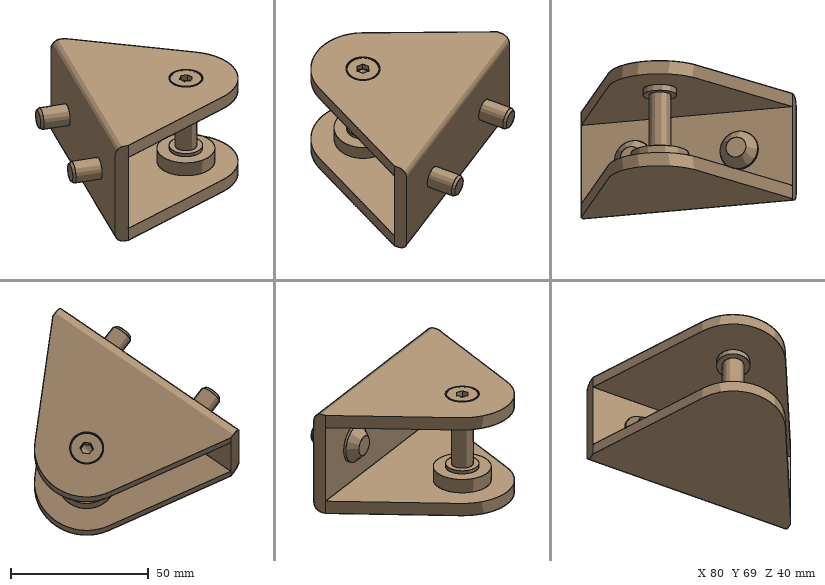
import cadquery as cq
import math

bracket_width = 80.0
bracket_height = 40.0
bracket_depth = 58.0
wall = 5.0
bend_radius = 3.5
ear_radius = 19.0
pin_y = bracket_depth - ear_radius
half_height = bracket_height / 2
inner_top = half_height - wall
inner_bottom = -inner_top

screw_spacing = 40.0
screw_diameter = 8.0
screw_projection = 11.0
screw_tip_length = 1.0
screw_tip_inset = 0.7
screw_head_diameter = 14.2
screw_head_face_diameter = 7.5
screw_head_rim = 1.0
screw_head_height = 4.5

pin_diameter = 8.0
countersink_diameter = 12.4
pin_head_rim = 0.4
socket_across_flats = 4.2
socket_depth = 2.4
socket_cone_height = 1.2

collar_diameter = 12.2
upper_collar_height = 2.2
lower_collar_height = 1.3
roller_diameter = 21.0
roller_height = 5.4


def bracket_outline():
    """Plan of the ears: straight back wall, then sides tangent to a round nose."""
    half_width = bracket_width / 2
    corner_drop = pin_y - wall
    corner_distance = math.hypot(half_width, corner_drop)
    tangent_angle = math.acos(ear_radius / corner_distance) - math.atan2(corner_drop, half_width)
    tangent_x = ear_radius * math.cos(tangent_angle)
    tangent_y = pin_y + ear_radius * math.sin(tangent_angle)
    return (
        cq.Workplane("XY", origin=(0, 0, -half_height))
        .moveTo(-half_width, 0)
        .lineTo(half_width, 0)
        .lineTo(half_width, wall)
        .lineTo(tangent_x, tangent_y)
        .threePointArc((0, bracket_depth), (-tangent_x, tangent_y))
        .lineTo(-half_width, wall)
        .close()
        .extrude(bracket_height)
    )


def screw_positions():
    return [-screw_spacing / 2, screw_spacing / 2]


def ring(diameter, height, bottom):
    """Plain ring bored to fit the pin."""
    return (
        cq.Workplane("XY", origin=(0, pin_y, bottom))
        .circle(diameter / 2)
        .circle(pin_diameter / 2)
        .extrude(height)
    )


def make_bracket():
    body = bracket_outline().edges("|X and <Y").fillet(bend_radius)
    channel = cq.Workplane("XY").box(
        bracket_width, bracket_depth, 2 * inner_top, centered=(True, False, True)
    ).translate((0, wall, 0))
    body = body.cut(channel)
    for x in screw_positions():
        hole = cq.Workplane("XZ", origin=(x, 0, 0)).circle(screw_diameter / 2).extrude(-wall)
        body = body.cut(hole)

    countersink_depth = (countersink_diameter - pin_diameter) / 2
    pin_hole = (
        cq.Workplane("XZ", origin=(0, pin_y, 0))
        .moveTo(0, inner_top)
        .lineTo(pin_diameter / 2, inner_top)
        .lineTo(pin_diameter / 2, half_height - countersink_depth)
        .lineTo(countersink_diameter / 2, half_height)
        .lineTo(0, half_height)
        .close()
        .revolve(360, (0, 0), (0, 1))
    )
    return body.cut(pin_hole)


def make_screw(x):
    """Screw along y, with its conical button head against the inside of the back wall."""
    shank_radius = screw_diameter / 2
    head_radius = screw_head_diameter / 2
    face_radius = screw_head_face_diameter / 2
    rim_y = wall + screw_head_rim
    face_y = wall + screw_head_height
    return (
        cq.Workplane("XY")
        .moveTo(0, -screw_projection)
        .lineTo(shank_radius - screw_tip_inset, -screw_projection)
        .lineTo(shank_radius, -screw_projection + screw_tip_length)
        .lineTo(shank_radius, wall)
        .lineTo(head_radius, wall)
        .lineTo(head_radius, rim_y)
        .lineTo(face_radius, face_y)
        .lineTo(0, face_y)
        .close()
        .revolve(360, (0, 0), (0, 1))
        .translate((x, 0, 0))
    )


def make_pin():
    """Countersunk pin, flush with the upper ear, reaching down to the lower ear."""
    top = half_height
    head_radius = countersink_diameter / 2 - pin_head_rim
    cone_top = top - pin_head_rim
    radius = pin_diameter / 2
    body = (
        cq.Workplane("XZ", origin=(0, pin_y, 0))
        .moveTo(0, inner_bottom)
        .lineTo(radius, inner_bottom)
        .lineTo(radius, cone_top - (head_radius - radius))
        .lineTo(head_radius, cone_top)
        .lineTo(head_radius, top)
        .lineTo(0, top)
        .close()
        .revolve(360, (0, 0), (0, 1))
    )

    socket_diameter = socket_across_flats / math.cos(math.pi / 6)
    socket_bottom = top - socket_depth
    hexagon = (
        cq.Workplane("XY", origin=(0, pin_y, socket_bottom))
        .transformed(rotate=(0, 0, 30))
        .polygon(6, socket_diameter)
        .extrude(socket_depth)
    )
    cone = cq.Workplane(
        cq.Solid.makeCone(
            socket_diameter / 2, 0, socket_cone_height,
            pnt=cq.Vector(0, pin_y, socket_bottom), dir=cq.Vector(0, 0, -1),
        )
    )
    return body.cut(hexagon).cut(cone)


def make_roller():
    return ring(roller_diameter, roller_height, inner_bottom)


def make_lower_collar():
    return ring(collar_diameter, lower_collar_height, inner_bottom + roller_height)


def make_upper_collar():
    return ring(collar_diameter, upper_collar_height, inner_top - upper_collar_height)


bracket = make_bracket()
screws = [make_screw(x) for x in screw_positions()]
pin = make_pin()
roller = make_roller()
lower_collar = make_lower_collar()
upper_collar = make_upper_collar()

result = cq.Compound.makeCompound([
    bracket.val(),
    *[screw.val() for screw in screws],
    pin.val(),
    roller.val(),
    lower_collar.val(),
    upper_collar.val(),
])